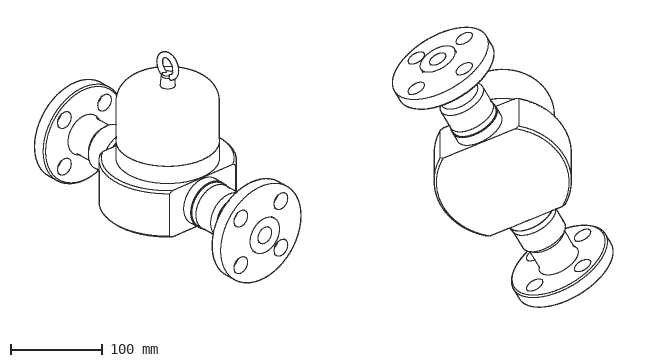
import cadquery as cq
import math

TOTAL_LENGTH = 320.0
TOP_Z = 161.0

BODY_RADIUS = 150.0 / 2
BODY_HEIGHT = 58.2
BODY_CHAMFER = 2.5
FLAT_HALF_WIDTH = 57.5

COLLAR_RADIUS = 113.3 / 2
COLLAR_TOP_Z = 50.5
SHELL_RADIUS = 113.0 / 2
SHELL_TOP_Z = 120.3
DOME_RADIUS = 20.0

EYE_OUTER_DIAMETER = 33.0
EYE_INNER_DIAMETER = 20.0
POST_BASE_RADIUS = 8.3
POST_SHOULDER_RADIUS = 7.0
POST_TOP_RADIUS = 6.0
POST_SHOULDER_Z = 132.8
POST_TOP_Z = 135.0

BOSS_RADIUS = 55.5 / 2
BOSS_END_X = 69.8
BOSS_CHAMFER = 0.5

BORE_RADIUS = 20.0 / 2
SOCKET_RADIUS = 53.0 / 2
PIPE_RADIUS = 44.0 / 2
FACE_RADIUS = 43.0 / 2
FLANGE_RADIUS = 117.0 / 2
BEAD_START_X = 76.5
BEAD_HEIGHT = 1.0
SOCKET_END_X = 100.8
TAPER_END_X = 106.0
FLANGE_BACK_X = 137.3
FLANGE_FRONT_X = 153.5
FLANGE_CHAMFER = 2.0
NECK_FLARE_LENGTH = 4.8
NECK_FLARE_RISE = 2.0
FACE_FILLET = 2.0
FACE_END_X = TOTAL_LENGTH / 2

BOLT_COUNT = 4
BOLT_DIAMETER = 20.0
BOLT_CIRCLE_RADIUS = 82.5 / 2


def make_body_block():
    """Chamfered disc with two parallel flats facing the pipes."""
    disc = (
        cq.Workplane("XY")
        .workplane(offset=-BODY_HEIGHT / 2)
        .circle(BODY_RADIUS)
        .extrude(BODY_HEIGHT)
        .edges()
        .chamfer(BODY_CHAMFER)
    )
    slab = cq.Workplane("XY").box(2 * FLAT_HALF_WIDTH, 2 * BODY_RADIUS, BODY_HEIGHT)
    return disc.intersect(slab)


def make_cover():
    """Collar and domed shell."""
    collar = cq.Workplane("XY").circle(COLLAR_RADIUS).extrude(COLLAR_TOP_Z)
    shell = (
        cq.Workplane("XY")
        .circle(SHELL_RADIUS)
        .extrude(SHELL_TOP_Z)
        .faces(">Z")
        .edges()
        .fillet(DOME_RADIUS)
    )
    return collar.union(shell)


def make_lifting_eye():
    """Ring in the XZ plane on a slightly tapered post."""
    wire_radius = (EYE_OUTER_DIAMETER - EYE_INNER_DIAMETER) / 4
    ring_radius = (EYE_OUTER_DIAMETER + EYE_INNER_DIAMETER) / 4
    ring_z = TOP_Z - EYE_OUTER_DIAMETER / 2
    ring = cq.Workplane("XY").add(
        cq.Solid.makeTorus(ring_radius, wire_radius, cq.Vector(0, 0, ring_z), cq.Vector(0, 1, 0))
    )
    post = (
        cq.Workplane("XZ")
        .moveTo(0, 0)
        .lineTo(POST_BASE_RADIUS, 0)
        .lineTo(POST_BASE_RADIUS, SHELL_TOP_Z)
        .lineTo(POST_SHOULDER_RADIUS, POST_SHOULDER_Z)
        .lineTo(POST_TOP_RADIUS, POST_TOP_Z)
        .lineTo(0, POST_TOP_Z)
        .close()
        .revolve(360, (0, 0, 0), (0, 1, 0))
    )
    return post.union(ring)


def make_bosses():
    """Pipe stub through the body, standing out of both flats."""
    return (
        cq.Workplane("YZ")
        .circle(BOSS_RADIUS)
        .extrude(BOSS_END_X, both=True)
        .edges()
        .chamfer(BOSS_CHAMFER)
    )


def make_trap():
    return make_body_block().union(make_bosses()).union(make_cover()).union(make_lifting_eye())


def make_flanged_pipe():
    """Bored pipe on the +X side: weld bead, socket, neck, flange and raised face."""
    bead_middle_x = (BOSS_END_X + BEAD_START_X) / 2
    flare_start_x = FLANGE_BACK_X - NECK_FLARE_LENGTH
    fillet_mid = FACE_FILLET * (1 - math.sqrt(0.5))
    profile = (
        cq.Workplane("XY")
        .moveTo(BOSS_END_X, BORE_RADIUS)
        .lineTo(BOSS_END_X, SOCKET_RADIUS)
        .threePointArc((bead_middle_x, SOCKET_RADIUS + BEAD_HEIGHT), (BEAD_START_X, SOCKET_RADIUS))
        .lineTo(SOCKET_END_X, SOCKET_RADIUS)
        .lineTo(TAPER_END_X, PIPE_RADIUS)
        .lineTo(flare_start_x, PIPE_RADIUS)
        .tangentArcPoint((FLANGE_BACK_X, PIPE_RADIUS + NECK_FLARE_RISE), relative=False)
        .lineTo(FLANGE_BACK_X, FLANGE_RADIUS - FLANGE_CHAMFER)
        .lineTo(FLANGE_BACK_X + FLANGE_CHAMFER, FLANGE_RADIUS)
        .lineTo(FLANGE_FRONT_X, FLANGE_RADIUS)
        .lineTo(FLANGE_FRONT_X, FACE_RADIUS + FACE_FILLET)
        .threePointArc(
            (FLANGE_FRONT_X + fillet_mid, FACE_RADIUS + fillet_mid),
            (FLANGE_FRONT_X + FACE_FILLET, FACE_RADIUS),
        )
        .lineTo(FACE_END_X, FACE_RADIUS)
        .lineTo(FACE_END_X, BORE_RADIUS)
        .close()
    )
    pipe = profile.revolve(360, (0, 0, 0), (1, 0, 0))
    bolt_holes = (
        cq.Workplane("YZ")
        .workplane(offset=FLANGE_BACK_X)
        .polarArray(BOLT_CIRCLE_RADIUS, 180 / BOLT_COUNT, 360, BOLT_COUNT)
        .circle(BOLT_DIAMETER / 2)
        .extrude(FLANGE_FRONT_X - FLANGE_BACK_X)
    )
    return pipe.cut(bolt_holes)


trap = make_trap()

flanged_pipes = []
for turn in (0, 180):
    flanged_pipes.append(make_flanged_pipe().rotate((0, 0, 0), (0, 0, 1), turn))

result = cq.Compound.makeCompound([trap.val(), *[pipe.val() for pipe in flanged_pipes]])